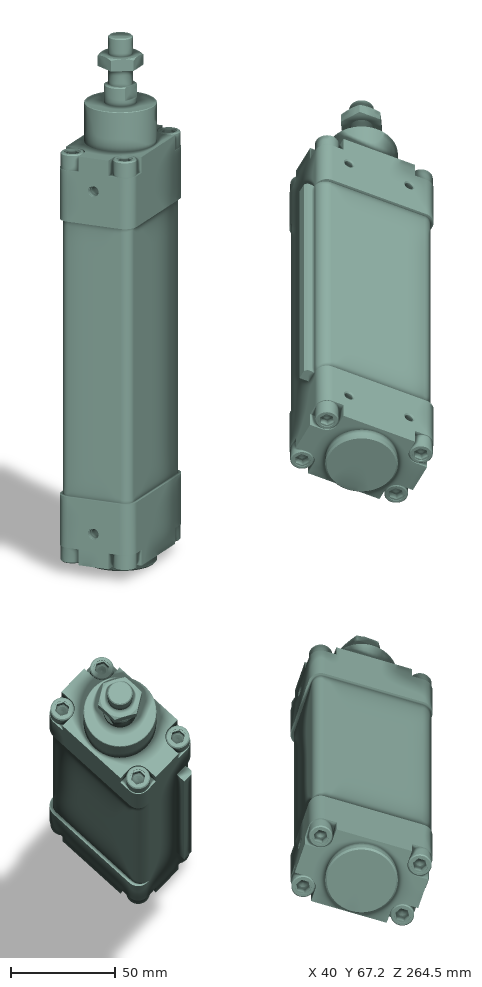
import cadquery as cq
import math

overall_height = 264.5
overall_depth = 67.2

cap_width = 40.0
cap_depth = 62.2
cap_height = 33.5
corner_radius = 6.0
barrel_height = 138.5
barrel_inset = 1.5

boss_diameter = 35.0
lower_boss_height = 5.5
upper_boss_height = 19.8
lower_boss_chamfer = 0.8
upper_boss_chamfer = 0.3

pocket_diameter = 12.0
pocket_depth = 8.0
head_diameter = 11.5
head_chamfer = 0.5
recess_diameter = 8.0
recess_depth = 0.5
socket_across_flats = 6.0
socket_depth = 4.0
socket_point_diameter = 4.2

mouth_diameter = 5.5
core_diameter = 4.2
countersink_depth = (mouth_diameter - core_diameter) / 2
hole_depth = 8.0
port_diameter = 5.0
port_depth = 2.6
drill_point_angle = 118.0
hole_from_end = 16.7
side_hole_spacing = 32.0

rail_left = -13.0
rail_width = 6.3
rail_height = overall_depth - cap_depth
rail_chamfer = 1.3
rail_neck_height = 1.0
rail_neck_inset = 0.3

rod_diameter = 16.0
rod_chamfer = 0.5
flats_width = 13.0
flats_length = 6.5
flats_angle = -15.0
thread_diameter = 12.0
thread_length = 24.0
thread_chamfer = 0.5

nut_across_flats = 19.0
nut_height = 6.0
nut_from_tip = 9.0
nut_bevel_angle = 30.0

barrel_bottom = lower_boss_height + cap_height
upper_cap_bottom = barrel_bottom + barrel_height
upper_cap_top = upper_cap_bottom + cap_height
rod_bottom = upper_cap_top + upper_boss_height
thread_bottom = overall_height - thread_length
nut_bottom = overall_height - nut_from_tip - nut_height

screw_x = cap_width / 2 - corner_radius
screw_y = cap_depth / 2 - corner_radius


def block(width, depth, height):
    """Upright block standing on Z = 0, centred on the Z axis."""
    return cq.Workplane("XY").box(width, depth, height, centered=(True, True, False))


def cylinder(diameter, height):
    """Upright cylinder on the Z axis, standing on Z = 0 or hanging below it."""
    return cq.Workplane("XY").circle(diameter / 2).extrude(height)


def revolved(profile):
    """Solid made by turning an (X, Z) outline around the Z axis."""
    return cq.Workplane("XZ").polyline(profile).close().revolve(360, (0, 0, 0), (0, 1, 0))


def across_corners(across_flats):
    """Distance between opposite corners of a hexagon."""
    return across_flats / math.cos(math.radians(30))


def hexagon(across_flats, height):
    """Hexagonal prism standing on Z = 0, with flats facing -X and +X."""
    prism = cq.Workplane("XY").polygon(6, across_corners(across_flats)).extrude(height)
    return prism.rotate((0, 0, 0), (0, 0, 1), 90)


def drilled_hole(diameter, depth):
    """Blind hole running down from the origin, with a conical drill point."""
    radius = diameter / 2
    point = radius / math.tan(math.radians(drill_point_angle / 2))
    profile = [(0, 0), (radius, 0), (radius, -depth), (0, -depth - point)]
    return revolved(profile)


def countersink():
    """Conical mouth of a hole, narrowing down from the origin."""
    outer = mouth_diameter / 2
    inner = core_diameter / 2
    profile = [(0, 0), (outer, 0), (inner, -countersink_depth), (0, -countersink_depth)]
    return revolved(profile)


def mounting_hole():
    """Countersunk blind hole with a conical end."""
    return drilled_hole(core_diameter, hole_depth).union(countersink())


def air_port():
    """Stepped blind port with a flat end: mouth, thread and core."""
    mouth = cylinder(mouth_diameter, -countersink_depth)
    thread = cylinder(port_diameter, -port_depth)
    core = cylinder(core_diameter, -hole_depth)
    return mouth.union(thread).union(core)


def screw_pocket():
    """Corner pocket at the (+X, +Y) screw: round inside, open towards both outer faces."""
    radius = pocket_diameter / 2
    reach = 2 * corner_radius
    pocket = cylinder(pocket_diameter, -pocket_depth)
    for start in ((-radius, 0), (0, -radius)):
        arm = cq.Workplane("XY").box(reach - start[0], reach - start[1], pocket_depth, centered=False)
        pocket = pocket.union(arm.translate((start[0], start[1], -pocket_depth)))
    return pocket


def screw_head():
    """Hex socket head standing in a pocket, its top level with the end of the cap."""
    head = cylinder(head_diameter, -pocket_depth)
    head = head.faces(">Z").chamfer(head_chamfer)
    recess = cylinder(recess_diameter, -recess_depth)
    socket = hexagon(socket_across_flats, -socket_depth)
    point = drilled_hole(socket_point_diameter, socket_depth)
    return head.cut(recess).cut(socket).cut(point)


def make_cap():
    """End cap with its outer end at the top, at Z = cap_height."""
    cap = block(cap_width, cap_depth, cap_height).edges("|Z").fillet(corner_radius)
    pocket = screw_pocket().translate((screw_x, screw_y, cap_height))
    pockets = pocket.union(pocket.mirror("YZ"))
    cap = cap.cut(pockets).cut(pockets.mirror("XZ"))
    for x in (-screw_x, screw_x):
        for y in (-screw_y, screw_y):
            cap = cap.union(screw_head().translate((x, y, cap_height)))

    hole_z = cap_height - hole_from_end
    front_port = air_port().rotate((0, 0, 0), (1, 0, 0), 90)
    cap = cap.cut(front_port.translate((0, -cap_depth / 2, hole_z)))
    side_hole = mounting_hole().rotate((0, 0, 0), (0, 1, 0), -90)
    for y in (-side_hole_spacing / 2, side_hole_spacing / 2):
        cap = cap.cut(side_hole.translate((-cap_width / 2, y, hole_z)))
    return cap


def make_rail():
    """Sensor rail with a narrower neck and one bevelled outer edge."""
    base = cap_depth / 2
    top = base + rail_height
    right = rail_left + rail_width
    profile = [
        (rail_left + rail_neck_inset, base - barrel_inset),
        (rail_left + rail_neck_inset, base + rail_neck_height),
        (rail_left, base + rail_neck_height),
        (rail_left, top - rail_chamfer),
        (rail_left + rail_chamfer, top),
        (right, top),
        (right, base - barrel_inset),
    ]
    return cq.Workplane("XY").polyline(profile).close().extrude(barrel_height)


def make_barrel():
    """Barrel level with the caps on +Y and inside them on the other three sides."""
    width = cap_width - 2 * barrel_inset
    depth = cap_depth - barrel_inset
    barrel = block(width, depth, barrel_height)
    barrel = barrel.edges("|Z and >Y").fillet(corner_radius)
    barrel = barrel.edges("|Z and <Y").fillet(corner_radius - barrel_inset)
    return barrel.translate((0, barrel_inset / 2, 0))


def make_housing():
    """Barrel, both end caps, bosses, screws and sensor rail."""
    barrel = make_barrel().union(make_rail())
    upper_cap = make_cap().translate((0, 0, upper_cap_bottom))
    lower_cap = make_cap().mirror("XY").translate((0, 0, barrel_bottom))
    upper_boss = cylinder(boss_diameter, upper_boss_height)
    upper_boss = upper_boss.faces(">Z").chamfer(upper_boss_chamfer)
    lower_boss = cylinder(boss_diameter, lower_boss_height)
    lower_boss = lower_boss.faces("<Z").chamfer(lower_boss_chamfer)
    upper_boss = upper_boss.translate((0, 0, upper_cap_top))
    barrel = barrel.translate((0, 0, barrel_bottom))
    return barrel.union(upper_cap).union(lower_cap).union(upper_boss).union(lower_boss)


def make_rod():
    """Piston rod with two wrench flats and a threaded end."""
    collar_height = thread_bottom - rod_bottom
    collar = cylinder(rod_diameter, collar_height)
    collar = collar.faces(">Z").chamfer(rod_chamfer)
    between_flats = block(flats_width, 2 * rod_diameter, flats_length)
    waste = cylinder(2 * rod_diameter, flats_length).cut(between_flats)
    waste = waste.rotate((0, 0, 0), (0, 0, 1), flats_angle)
    collar = collar.cut(waste.translate((0, 0, collar_height - flats_length)))
    thread = cylinder(thread_diameter, thread_length)
    thread = thread.faces(">Z").chamfer(thread_chamfer)
    rod = collar.union(thread.translate((0, 0, collar_height)))
    return rod.translate((0, 0, rod_bottom))


def make_nut():
    """Hexagonal lock nut with its corners bevelled at the top."""
    corner_distance = across_corners(nut_across_flats)
    bevel_width = (corner_distance - nut_across_flats) / 2
    bevel_height = bevel_width * math.tan(math.radians(nut_bevel_angle))
    envelope = cylinder(corner_distance, nut_height)
    envelope = envelope.faces(">Z").chamfer(bevel_height, bevel_width)
    nut = hexagon(nut_across_flats, nut_height).intersect(envelope)
    nut = nut.cut(cylinder(thread_diameter, nut_height))
    return nut.translate((0, 0, nut_bottom))


housing = make_housing()
piston_rod = make_rod()
lock_nut = make_nut()

result = cq.Compound.makeCompound([housing.val(), piston_rod.val(), lock_nut.val()])